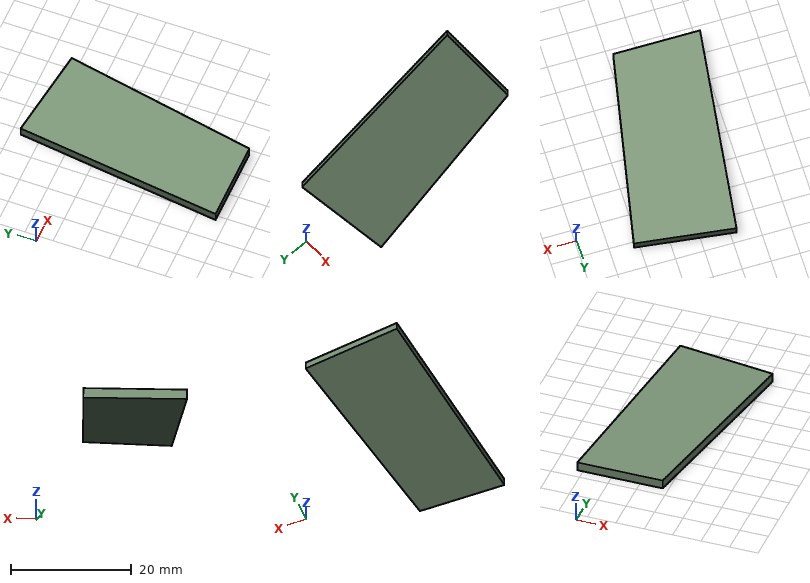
import cadquery as cq

length = 36.68
width = 21.9
thickness = 1.6

front_edge_width = 15.0
back_left_offset = 4.85
back_right_drop = 2.25

outline = [
    (0, 0),
    (front_edge_width, 0),
    (width, length - back_right_drop),
    (back_left_offset, length),
]

result = cq.Workplane("XY").polyline(outline).close().extrude(thickness)